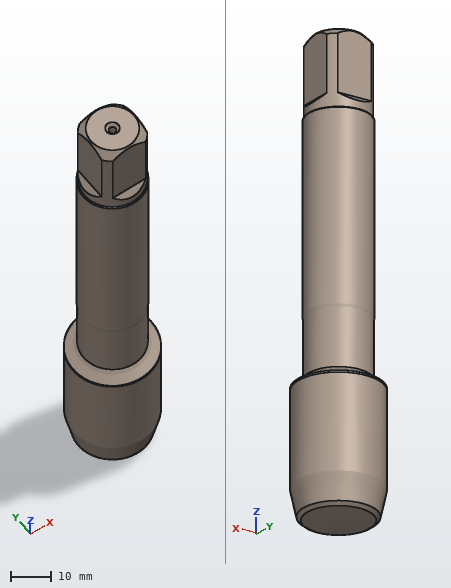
import cadquery as cq
import math

TOTAL_LENGTH = 130.0
FACE_Z = 0.3
NOSE_CHAMFER_Z = 1.2
TAPER_TOP_Z = 8.6
SPLIT_Z = 35.1
COLLAR_TOP_Z = 35.6
NECK_BOTTOM_Z = 38.0
NECK_TOP_Z = 54.6
SHANK_TOP_Z = 107.9
FLAT_BOTTOM_Z = 112.0

HEAD_DIAMETER = 24.2
TAPER_END_DIAMETER = 20.9
NOSE_DIAMETER = 18.7
COLLAR_TOP_DIAMETER = 19.5
NECK_DIAMETER = 17.7
SHANK_DIAMETER = 18.0
DRIVE_DIAMETER = 17.3
DRIVE_TOP_DIAMETER = 13.3
CENTRE_HOLE_DIAMETER = 2.0
CENTRE_MOUTH_DIAMETER = 3.6

SQUARE_SIZE = 14.0
CENTRE_HOLE_DEPTH = 3.9
DRILL_POINT_ANGLE = 120.0

COLLAR_CONE_ANGLE = 33.0

SHANK_CHAMFER = (SHANK_DIAMETER - DRIVE_DIAMETER) / 2
NECK_CHAMFER_HEIGHT = 0.8
COLLAR_CONE_HEIGHT = (HEAD_DIAMETER - COLLAR_TOP_DIAMETER) / 2 * math.tan(math.radians(COLLAR_CONE_ANGLE))
CONE_TOP_Z = COLLAR_TOP_Z + COLLAR_CONE_HEIGHT
DRIVE_CHAMFER = (DRIVE_DIAMETER - DRIVE_TOP_DIAMETER) / 2
CENTRE_CHAMFER = (CENTRE_MOUTH_DIAMETER - CENTRE_HOLE_DIAMETER) / 2
DRILL_POINT_DEPTH = CENTRE_HOLE_DIAMETER / 2 / math.tan(math.radians(DRILL_POINT_ANGLE / 2))


def revolve_profile(points):
    """Revolve (diameter, z) points, closed along the axis, about Z."""
    outline = [(diameter / 2, z) for diameter, z in points]
    return cq.Workplane("XZ").polyline(outline).close().revolve(360, (0, 0), (0, 1))


def make_drive_cutter():
    """Material outside the square, ending in 45-degree run-outs at the bottom."""
    height = TOTAL_LENGTH - FLAT_BOTTOM_Z
    runout = SHANK_DIAMETER - SQUARE_SIZE
    wide_size = SQUARE_SIZE + 2 * runout
    square = (
        cq.Workplane("XY", origin=(0, 0, FLAT_BOTTOM_Z))
        .rect(SQUARE_SIZE, SQUARE_SIZE)
        .extrude(height)
    )
    flare = (
        cq.Workplane("XY", origin=(0, 0, FLAT_BOTTOM_Z - runout))
        .rect(wide_size, wide_size)
        .workplane(offset=runout)
        .rect(SQUARE_SIZE, SQUARE_SIZE)
        .loft(ruled=True)
    )
    envelope = (
        cq.Workplane("XY", origin=(0, 0, FLAT_BOTTOM_Z - runout))
        .rect(wide_size, wide_size)
        .extrude(height + runout)
    )
    return envelope.cut(square).cut(flare)


def make_centre_hole():
    """Blind centre hole with a 45-degree countersunk mouth and a drill-point bottom."""
    return revolve_profile([
        (0, TOTAL_LENGTH),
        (CENTRE_MOUTH_DIAMETER, TOTAL_LENGTH),
        (CENTRE_HOLE_DIAMETER, TOTAL_LENGTH - CENTRE_CHAMFER),
        (CENTRE_HOLE_DIAMETER, TOTAL_LENGTH - CENTRE_HOLE_DEPTH),
        (0, TOTAL_LENGTH - CENTRE_HOLE_DEPTH - DRILL_POINT_DEPTH),
    ])


def make_shank():
    """Stepped round shank with a collar resting on the head and a square drive on top."""
    blank = revolve_profile([
        (0, SPLIT_Z),
        (HEAD_DIAMETER, SPLIT_Z),
        (HEAD_DIAMETER, COLLAR_TOP_Z),
        (COLLAR_TOP_DIAMETER, CONE_TOP_Z),
        (NECK_DIAMETER, NECK_BOTTOM_Z),
        (NECK_DIAMETER, NECK_TOP_Z - NECK_CHAMFER_HEIGHT / 2),
        (SHANK_DIAMETER, NECK_TOP_Z + NECK_CHAMFER_HEIGHT / 2),
        (SHANK_DIAMETER, SHANK_TOP_Z),
        (DRIVE_DIAMETER, SHANK_TOP_Z + SHANK_CHAMFER),
        (DRIVE_DIAMETER, TOTAL_LENGTH - DRIVE_CHAMFER),
        (DRIVE_TOP_DIAMETER, TOTAL_LENGTH),
        (0, TOTAL_LENGTH),
    ])
    return blank.cut(make_drive_cutter()).cut(make_centre_hole())


def make_head():
    """Round head with a tapered, chamfered nose and a shallow conical end."""
    return revolve_profile([
        (0, 0),
        (NOSE_DIAMETER, FACE_Z),
        (TAPER_END_DIAMETER, NOSE_CHAMFER_Z),
        (HEAD_DIAMETER, TAPER_TOP_Z),
        (HEAD_DIAMETER, SPLIT_Z),
        (0, SPLIT_Z),
    ])


head = make_head()
shank = make_shank()
result = cq.Compound.makeCompound([head.val(), shank.val()])